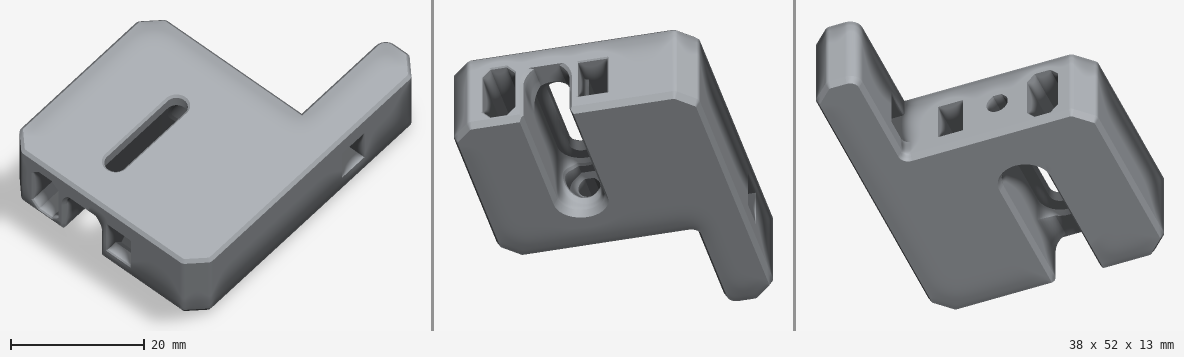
import cadquery as cq
import math

width = 38.0
length = 52.0
height = 13.0
arm_width = 8.0
body_length = 33.05

corner_cut = 3.0
corner_blend = 1.0
arm_tip_radius = 2.0
inner_corner_radius = 1.0
top_bevel = 0.5
bottom_bevel_height = 1.05
bottom_bevel_inset = 0.55
bottom_bevel_angle = math.degrees(math.atan2(bottom_bevel_inset, bottom_bevel_height))
opening_flare = 0.2

screw_x = 15.05
screw_z = 6.5
bore_radius = 1.7
counterbore_radius = 3.0
counterbore_end = 27.05
counterbore_chamfer = 0.3

slot_front = 7.75
slot_back = 21.65
slot_radius = 1.7
slot_flare = 0.35
pocket_radius = 3.6
pocket_flare = 0.45
pocket_mouth_roof = screw_z + counterbore_radius
plate_thickness = 2.2

octagon_x = 7.7
octagon_z = 5.95
octagon_width = 5.0
octagon_height = 9.0
octagon_cut = 1.25

duct_left = 19.95
duct_right = 24.55
duct_floor = 2.85
duct_roof = 9.2
duct_step = 0.55
groove_start = 2.05
groove_width = 2.55

window_end = 38.15
window_floor = 3.55
window_roof = 9.5

overshoot = 0.5

arm_x = width - arm_width


def outline(round_inner_corner):
    """Plan outline of the part, with its corners blended."""
    arm_tip = (arm_x, length)
    inner_corner = (arm_x, body_length)
    cut_corners = [
        (corner_cut, body_length),
        (0, body_length - corner_cut),
        (0, corner_cut),
        (corner_cut, 0),
        (width - corner_cut, 0),
        (width, corner_cut),
        (width, length - corner_cut),
        (width - corner_cut, length),
    ]
    loop = [inner_corner] + cut_corners + [arm_tip, inner_corner]
    sketch = cq.Sketch().polygon(loop)

    def blend(points, radius):
        for x, y in points:
            nearest = cq.selectors.NearestToPointSelector((x, y, 0))
            sketch.reset().vertices(nearest).fillet(radius)

    blend(cut_corners, corner_blend)
    blend([arm_tip], arm_tip_radius)
    if round_inner_corner:
        blend([inner_corner], inner_corner_radius)
    return sketch.reset()


def outer_shape():
    """Bevelled block; its inner corner is rounded only below the arm window."""
    foot = (
        cq.Workplane("XY", origin=(0, 0, bottom_bevel_height))
        .placeSketch(outline(True))
        .extrude(-bottom_bevel_height, taper=bottom_bevel_angle)
    )
    lower = (
        cq.Workplane("XY", origin=(0, 0, bottom_bevel_height))
        .placeSketch(outline(True))
        .extrude(window_floor - bottom_bevel_height)
    )
    upper = (
        cq.Workplane("XY", origin=(0, 0, window_floor))
        .placeSketch(outline(False))
        .extrude(height - window_floor)
        .faces(">Z")
        .chamfer(top_bevel)
    )
    return upper.union(lower).union(foot)


def long_slot(level, radius):
    """Plan of a round-ended slot along the travel of the screw."""
    travel = slot_back - slot_front
    centre = (screw_x, slot_front + travel / 2, level)
    return cq.Workplane("XY", origin=centre).slot2D(travel + 2 * radius, 2 * radius, 90)


def adjusting_slot():
    """Slot through the top plate, flared at its upper rim and widened below the plate."""
    plate_underside = height - plate_thickness
    shaft = long_slot(plate_underside, slot_radius).extrude(plate_thickness)
    rim = long_slot(height, slot_radius + slot_flare).extrude(-slot_flare, taper=45)
    clearance = long_slot(screw_z, pocket_radius).extrude(plate_underside - screw_z)
    return shaft.union(rim).union(clearance)


def pocket_plan(level, radius):
    """Plan of the pocket: open to -Y, with a round end about the back of the slot."""
    return (
        cq.Workplane("XY", origin=(screw_x, 0, level))
        .moveTo(-radius, -pocket_radius)
        .lineTo(radius, -pocket_radius)
        .lineTo(radius, slot_back)
        .threePointArc((0, slot_back + radius), (-radius, slot_back))
        .close()
    )


def arch(plane, radius):
    """Upright section of the pocket: straight sides and an arch cut flat at the roof."""
    rise = pocket_mouth_roof - screw_z
    half_roof = math.sqrt(radius**2 - rise**2)
    shoulder_angle = math.atan2(rise, half_roof) / 2
    shoulder_x = radius * math.cos(shoulder_angle)
    shoulder_z = radius * math.sin(shoulder_angle)
    return (
        plane.moveTo(-radius, -screw_z - overshoot)
        .lineTo(radius, -screw_z - overshoot)
        .lineTo(radius, 0)
        .threePointArc((shoulder_x, shoulder_z), (half_roof, rise))
        .lineTo(-half_roof, rise)
        .threePointArc((-shoulder_x, shoulder_z), (-radius, 0))
        .close()
    )


def screw_pocket():
    """Pocket open to the front and the bottom, flared at both mouths."""
    section = cq.Workplane("XZ", origin=(screw_x, -pocket_flare, screw_z))
    body = arch(section, pocket_radius).extrude(-length)
    body = body.intersect(pocket_plan(-overshoot, pocket_radius).extrude(height))
    front = cq.Workplane("XZ", origin=(screw_x, 0, screw_z))
    mouth = arch(front, pocket_radius + pocket_flare)
    mouth = arch(mouth.workplane(offset=-pocket_flare), pocket_radius).loft(ruled=True)
    foot_plan = pocket_plan(0, pocket_radius + bottom_bevel_inset)
    foot = foot_plan.extrude(bottom_bevel_height, taper=bottom_bevel_angle)
    return body.union(mouth).union(foot)


def flat_topped_hole(radius, start, end):
    """Hole along Y whose top follows 45 degree tangents up to a flat at full radius."""
    tangent = radius * math.sqrt(0.5)
    half_flat = radius * math.tan(math.pi / 8)
    return (
        cq.Workplane("XZ", origin=(screw_x, start, screw_z))
        .moveTo(tangent, tangent)
        .lineTo(half_flat, radius)
        .lineTo(-half_flat, radius)
        .lineTo(-tangent, tangent)
        .threePointArc((0, -radius), (tangent, tangent))
        .close()
        .extrude(start - end)
    )


def flared_cut(profile, depth):
    """Straight cut of a profile set one flare below a face, widening at 45 degrees up to it."""
    straight = profile.extrude(-depth)
    mouth = profile.toPending().extrude(opening_flare, taper=-45)
    return straight.union(mouth)


def counterbore_rim():
    """Region holding the edges where the counterbore meets the round end of the pocket."""
    front_corner = (screw_x - pocket_radius, slot_back, screw_z - pocket_radius)
    back_corner = (screw_x + pocket_radius, slot_back + pocket_radius + overshoot, screw_z + pocket_radius)
    return cq.selectors.BoxSelector(front_corner, back_corner, boundingbox=True)


def octagon_duct():
    """Eight-sided duct along the whole body, flared at the front."""
    half_width = octagon_width / 2
    half_height = octagon_height / 2
    flat_width = half_width - octagon_cut
    flat_height = half_height - octagon_cut
    profile = (
        cq.Workplane("XZ", origin=(octagon_x, opening_flare, octagon_z))
        .moveTo(-flat_width, -half_height)
        .lineTo(flat_width, -half_height)
        .lineTo(half_width, -flat_height)
        .lineTo(half_width, flat_height)
        .lineTo(flat_width, half_height)
        .lineTo(-flat_width, half_height)
        .lineTo(-half_width, flat_height)
        .lineTo(-half_width, -flat_height)
        .close()
    )
    return flared_cut(profile, body_length)


def rectangular_duct():
    """Rectangular duct that narrows past a V groove in its floor."""
    duct_width = duct_right - duct_left
    duct_height = duct_roof - duct_floor
    groove_end = groove_start + groove_width
    duct_middle = ((duct_left + duct_right) / 2, opening_flare, (duct_floor + duct_roof) / 2)
    profile = cq.Workplane("XZ", origin=duct_middle).rect(duct_width, duct_height)
    entry = flared_cut(profile, groove_end - duct_step - opening_flare)
    arc_x = duct_left + duct_step * (1 - math.sqrt(0.5))
    arc_y = groove_end - duct_step * (1 - math.sqrt(0.5))
    passage = (
        cq.Workplane("XY", origin=(0, 0, duct_floor))
        .moveTo(duct_left, groove_end - duct_step)
        .threePointArc((arc_x, arc_y), (duct_left + duct_step, groove_end))
        .lineTo(duct_left + duct_step, body_length)
        .lineTo(duct_right, body_length)
        .lineTo(duct_right, groove_end - duct_step)
        .close()
        .extrude(duct_height)
    )
    groove = (
        cq.Workplane("YZ", origin=(duct_left, 0, duct_floor))
        .moveTo(groove_start, 0)
        .lineTo(groove_start + groove_width / 2, -groove_width / 2)
        .lineTo(groove_end, 0)
        .close()
        .extrude(duct_width)
    )
    return entry.union(passage).union(groove)


def arm_window():
    """Window along X through the arm, flush with the back of the body and flared at its -X mouth."""
    window_height = window_roof - window_floor
    window_length = window_end - body_length
    middle = (arm_x + opening_flare, (body_length + window_end) / 2, (window_floor + window_roof) / 2)
    opening = flared_cut(cq.Workplane("ZY", origin=middle).rect(window_height, window_length), arm_width)
    behind_body = cq.Workplane("XY", origin=(0, body_length, 0)).box(width, length, height, centered=False)
    return opening.intersect(behind_body)


result = (
    outer_shape()
    .cut(adjusting_slot())
    .cut(screw_pocket())
    .cut(flat_topped_hole(counterbore_radius, slot_back, counterbore_end))
    .edges(counterbore_rim())
    .chamfer(counterbore_chamfer)
    .cut(flat_topped_hole(bore_radius, slot_back, body_length))
    .cut(octagon_duct())
    .cut(rectangular_duct())
    .cut(arm_window())
)